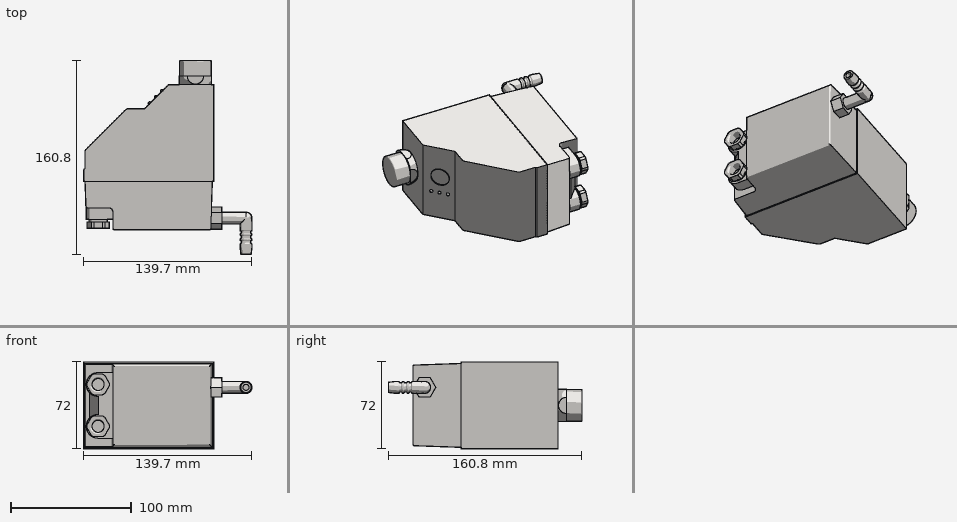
import cadquery as cq
import math


cover_width = 108.0
cover_length = 80.4
cover_height = 72.0
rim_step = 1.1
rim_length = 9.6
side_top_y = 25.7
ledge_y = 60.5
ledge_end_x = 50.6
left_corner_radius = 2.1
ledge_corner_radius = 3.9

button_y = 69.7
button_z = 6.0
button_diameter = 16.0
button_depth = 1.0
lamp_diameter = 2.7
lamp_middle_y = 69.9
lamp_pitch_y = 5.1
lamp_z = -9.8

knob_x = 92.7
knob_diameter = 26.5
knob_end_y = 100.3
knob_edge_radius = 1.0
collar_end_y = 87.5
collar_width = 26.8
collar_flat_radius = 6.7

base_inset = 1.1
base_length = 40.2
base_draft = 2.0
base_edge_radius = 1.5
notch_width = 24.3
notch_floor_y = -21.9
notch_corner_radius = 3.4
notch_rim_radius = 1.5

gland_x = 12.0
gland_z = 17.4
boss_diameter = 19.8
boss_end_y = -31.5
web_left_x = 5.0
web_bevel = 7.2
washer_diameter = 15.3
washer_length = 2.0
gland_nut_flats = 17.2
gland_nut_diameter = 18.6
gland_end_y = -38.9
gland_bore_diameter = 10.0
gland_bore_rounding = 2.0

fitting_y = -30.4
fitting_z = 15.0
fitting_nut_flats = 16.0
fitting_nut_end_x = 114.7
fitting_root_x = 99.6
tube_diameter = 10.0
tube_end_x = 134.7
hose_end_y = -60.5
hose_tip_diameter = 8.7
hose_neck_diameter = 8.0
neck_corner_radius = 0.3
hose_bore_diameter = 5.0
hose_bore_depth = 9.6
shoulder_y = -40.3
barb_ys = (-44.0, -48.2)
tip_collar_start_y = -52.2
tip_collar_end_y = -55.1


def cylinder_y(x, z, diameter, start_y, end_y):
    """Cylinder along Y between two Y positions."""
    axis = cq.Vector(0, math.copysign(1, end_y - start_y), 0)
    start = cq.Vector(x, start_y, z)
    return cq.Workplane(cq.Solid.makeCylinder(diameter / 2, abs(end_y - start_y), start, axis))


def box_between(x_range, y_range, z_range):
    """Axis-aligned box from its limits along X, Y and Z."""
    sizes = [high - low for low, high in (x_range, y_range, z_range)]
    corner = (x_range[0], y_range[0], z_range[0])
    return cq.Workplane("XY").box(*sizes, centered=False).translate(corner)


def corner_diameter(flats):
    """Distance across the corners of a hexagon with the given distance across flats."""
    return flats / math.cos(math.pi / 6)


def make_cover():
    ledge_start_x = rim_step + ledge_y - side_top_y
    bevel_top_x = ledge_end_x + cover_length - ledge_y
    outline = [
        (0, 0),
        (cover_width, 0),
        (cover_width, cover_length),
        (bevel_top_x, cover_length),
        (ledge_end_x, ledge_y),
        (ledge_start_x, ledge_y),
        (rim_step, side_top_y),
        (rim_step, rim_length + rim_step),
        (0, rim_length),
    ]
    cover = cq.Workplane("XY").polyline(outline).close().extrude(cover_height / 2, both=True)
    cover = cover.edges(cq.NearestToPointSelector((rim_step, side_top_y, 0))).fillet(left_corner_radius)
    ledge_corner = cq.NearestToPointSelector((ledge_start_x, ledge_y, 0))
    return cover.edges(ledge_corner).fillet(ledge_corner_radius)


def bevel_point(y, z):
    """Point on the 45 degree upper bevel of the cover."""
    return cq.Vector(ledge_end_x + y - ledge_y, y, z)


def make_button_recess():
    inward = cq.Vector(1, -1, 0)
    center = bevel_point(button_y, button_z)
    return cq.Workplane(cq.Solid.makeCylinder(button_diameter / 2, button_depth, center, inward))


def make_lamps():
    lamps = cq.Workplane("XY")
    for step in (-1, 0, 1):
        center = bevel_point(lamp_middle_y + step * lamp_pitch_y, lamp_z)
        lamps = lamps.add(cq.Workplane("XY").sphere(lamp_diameter / 2).translate(center))
    return lamps.combine()


def make_knob():
    knob = cylinder_y(knob_x, 0, knob_diameter, collar_end_y, knob_end_y)
    knob = knob.faces(">Y").edges().fillet(knob_edge_radius)
    half_width = collar_width / 2
    collar = box_between(
        (knob_x - half_width, knob_x + half_width),
        (cover_length, collar_end_y),
        (-half_width, half_width),
    )
    sphere_radius = math.hypot(half_width, collar_flat_radius)
    sphere = cq.Workplane("XY").sphere(sphere_radius).translate((knob_x, collar_end_y, 0))
    return knob.union(collar.intersect(sphere))


def make_base():
    base = (
        cq.Workplane("XZ")
        .center(cover_width / 2, 0)
        .rect(cover_width - 2 * base_inset, cover_height - 2 * base_inset)
        .extrude(base_length, taper=base_draft)
    )
    notch = box_between(
        (-notch_width, notch_width),
        (-2 * base_length, notch_floor_y),
        (-cover_height, cover_height),
    )
    notch = notch.edges(">X and >Y").fillet(notch_corner_radius)
    base = base.cut(notch)
    base = base.faces("<Y").edges().fillet(base_edge_radius)
    rim = cq.NearestToPointSelector((base_inset, notch_floor_y, 0))
    return base.edges(rim).fillet(notch_rim_radius)


def make_web():
    """Bevelled web between the two gland bosses."""
    outline = [
        (web_left_x, notch_floor_y),
        (web_left_x, boss_end_y + web_bevel),
        (web_left_x + web_bevel, boss_end_y),
        (notch_width, boss_end_y),
        (notch_width, notch_floor_y),
    ]
    return cq.Workplane("XY").polyline(outline).close().extrude(gland_z, both=True)


def make_gland_body(z):
    radius = boss_diameter / 2
    boss = cylinder_y(gland_x, z, boss_diameter, notch_floor_y, boss_end_y)
    bridge = box_between(
        (gland_x, notch_width), (boss_end_y, notch_floor_y), (z - radius, z + radius)
    )
    nut_start_y = boss_end_y - washer_length
    washer = cylinder_y(gland_x, z, washer_diameter, boss_end_y, nut_start_y)
    nut = (
        cq.Workplane("XZ", origin=(gland_x, nut_start_y, z))
        .polygon(6, corner_diameter(gland_nut_flats))
        .extrude(nut_start_y - gland_end_y)
        .intersect(cylinder_y(gland_x, z, gland_nut_diameter, nut_start_y, gland_end_y))
    )
    nut = nut.union(washer)
    nut = nut.cut(cylinder_y(gland_x, z, gland_bore_diameter, gland_end_y, boss_end_y))
    bore_edge = cq.selectors.RadiusNthSelector(0)
    nut = nut.faces("<Y").edges("%CIRCLE").edges(bore_edge).fillet(gland_bore_rounding)
    return boss.union(bridge).union(nut)


def make_hose_tail():
    """Barbed tail along -Y below the elbow, as a revolved profile."""
    tube = tube_diameter / 2
    neck = hose_neck_diameter / 2
    rounding = tube - neck
    diagonal = rounding * math.sqrt(0.5)
    profile = (
        cq.Workplane("XY")
        .moveTo(0, fitting_y)
        .lineTo(tube, fitting_y)
        .lineTo(tube, shoulder_y)
        .threePointArc((neck + diagonal, shoulder_y - diagonal), (neck, shoulder_y - rounding))
    )
    for y in barb_ys:
        profile = profile.lineTo(neck, y + rounding)
        profile = profile.threePointArc((tube, y), (neck, y - rounding))
    neck_edges = cq.selectors.RadiusNthSelector(1)
    tail = (
        profile.lineTo(neck, tip_collar_start_y + rounding)
        .threePointArc((neck + diagonal, tip_collar_start_y + diagonal), (tube, tip_collar_start_y))
        .lineTo(tube, tip_collar_end_y)
        .lineTo(hose_tip_diameter / 2, hose_end_y)
        .lineTo(0, hose_end_y)
        .close()
        .revolve(360, (0, 0), (0, 1))
        .edges(neck_edges)
        .fillet(neck_corner_radius)
        .translate((tube_end_x, 0, fitting_z))
    )
    bore_end_y = hose_end_y + hose_bore_depth
    return tail.cut(cylinder_y(tube_end_x, fitting_z, hose_bore_diameter, hose_end_y, bore_end_y))


def make_fitting():
    root = (fitting_root_x, fitting_y, fitting_z)
    nut = (
        cq.Workplane("YZ", origin=root)
        .polygon(6, corner_diameter(fitting_nut_flats))
        .extrude(fitting_nut_end_x - fitting_root_x)
    )
    tube = (
        cq.Workplane("YZ", origin=root)
        .circle(tube_diameter / 2)
        .extrude(tube_end_x - fitting_root_x)
    )
    elbow = cq.Workplane("XY").sphere(tube_diameter / 2).translate((tube_end_x, fitting_y, fitting_z))
    return nut.union(tube).union(elbow).union(make_hose_tail())


result = make_cover().cut(make_button_recess()).union(make_lamps()).union(make_knob())
result = result.union(make_base()).union(make_web())
for side in (-1, 1):
    result = result.union(make_gland_body(side * gland_z))
result = result.union(make_fitting())